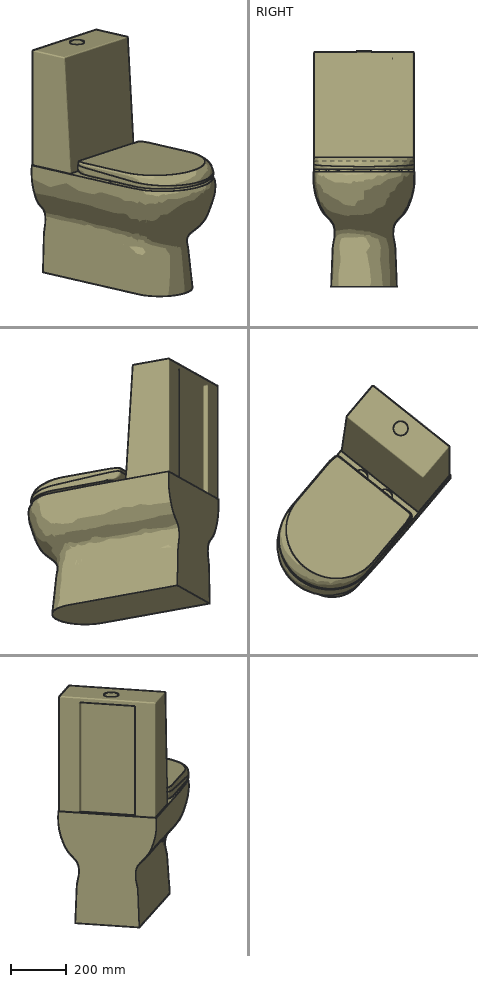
import cadquery as cq
import math

OVERALL_HEIGHT = 849.0

BOWL_TOP = 414.0
FOOT_TOP = 144.0
FOOT_STEPS = 6
FLOOR_SECTION = (0, 119.0, 568.0, 448.0)
BOWL_SECTIONS = [
    (FOOT_TOP, 113.0, 553.0, 429.0),
    (174.0, 107.0, 548.5, 425.0),
    (204, 105.0, 559.5, 439.0),
    (233.5, 115.5, 592.0, 467.0),
    (263, 143.5, 619.0, 499.0),
    (297, 163.0, 634.0, 519.0),
    (331, 175.0, 646.0, 532.0),
    (361.0, 181.0, 655.0, 539.0),
    (386.0, 182.5, 657.0, 540.0),
    (BOWL_TOP, 182.0, 644.0, 529.0),
]
SIDE_STRAIGHT_SHARE = 2 / 3
SIDE_BLEND = 34.0

CISTERN_HEIGHT = 431.0
CISTERN_TOP = BOWL_TOP + CISTERN_HEIGHT
CISTERN_HALF_WIDTH = 180.0
CISTERN_TOP_DEPTH = 152.0
CISTERN_BASE_DEPTH = 181.0
CISTERN_ROUND = 5.0
POCKET_HALF_WIDTH = 102.0
POCKET_TOP = 826.0
POCKET_DEPTH = 15.0

BUTTON_X = 61.0
BUTTON_DIAMETER = 53.0
BUTTON_HEIGHT = OVERALL_HEIGHT - CISTERN_TOP
BUTTON_ROUND = 2.0

SEAT_BOTTOM = 423.0
LID_TOP = 467.0
CUSHION_SECTIONS = [
    (SEAT_BOTTOM, 229.0, 178.0, 641.0),
    (426.0, 217.0, 181.0, 644.0),
    (433.0, 210.0, 182.0, 643.5),
    (446.0, 206.0, 182.0, 638.5),
    (453.0, 209.0, 182.0, 632.5),
    (460.0, 210.0, 181.0, 622.0),
    (LID_TOP, 211.0, 177.5, 606.0),
]
CUSHION_FRONT_DEPTH = 170.0
CORNER_RADIUS = 13.0
SHOULDER_INSET = 3.0
SHOULDER_LENGTH = 22.0
PARTING_BACK = (206.0, 453.0)
PARTING_FRONT = (642.0, 433.0)

BUMPERS = [
    (357.0, 148.5, 26.0),
    (514.5, 110.0, 31.0),
]

HINGE_X = 212.0
HINGE_YS = (51.0, -63.0)
HINGE_DIAMETER = 53.0
HINGE_TOP = 425.0


def bezier(points):
    return cq.Edge.makeBezier([cq.Vector(*p) for p in points])


def line(start, end):
    return cq.Edge.makeLine(cq.Vector(*start), cq.Vector(*end))


def mirrored(points):
    """The same points across the plane Y = 0, in reverse order."""
    return [(x, -y, z) for x, y, z in reversed(points)]


def elliptical_arc(center_x, depth, half_width, angle, z):
    """Bezier points of an ellipse from `angle` down to its tip at the front."""
    handle = 4 / 3 * math.tan(angle / 4)
    cos_a = math.cos(angle)
    sin_a = math.sin(angle)
    start = (center_x + depth * cos_a, half_width * sin_a, z)
    start_handle = (start[0] + handle * depth * sin_a, start[1] - handle * half_width * cos_a, z)
    tip = center_x + depth
    return [start, start_handle, (tip, handle * half_width, z), (tip, 0, z)]


def bowl_section(z, half_width, front_x, round_start_x):
    """A straight back, two long sides and a front rounded to at least a half circle."""
    depth = max(half_width, front_x - round_start_x)
    center_x = front_x - depth
    angle = math.acos((round_start_x - center_x) / depth)
    front = elliptical_arc(center_x, depth, half_width, angle, z)

    start = front[0]
    back = (0, half_width, z)
    blend_x = start[0] - SIDE_BLEND * math.sin(angle)
    blend_y = start[1] + SIDE_BLEND * math.cos(angle)
    side = [back, (SIDE_STRAIGHT_SHARE * start[0], half_width, z), (blend_x, blend_y, z), start]
    return cq.Wire.assembleEdges([
        bezier(side),
        bezier(front),
        bezier(mirrored(front)),
        bezier(mirrored(side)),
        line((0, -half_width, z), back),
    ])


def foot_section(share):
    """The sizes of the section at this share of the way up the foot."""
    return [low + share * (high - low) for low, high in zip(FLOOR_SECTION, BOWL_SECTIONS[0])]


def make_bowl():
    sections = [foot_section(step / FOOT_STEPS) for step in range(FOOT_STEPS)] + BOWL_SECTIONS
    return cq.Solid.makeLoft([bowl_section(*section) for section in sections])


def make_cistern():
    body = (
        cq.Workplane("XZ", origin=(0, CISTERN_HALF_WIDTH, 0))
        .moveTo(0, BOWL_TOP)
        .lineTo(CISTERN_BASE_DEPTH, BOWL_TOP)
        .lineTo(CISTERN_TOP_DEPTH, CISTERN_TOP)
        .lineTo(0, CISTERN_TOP)
        .close()
        .extrude(2 * CISTERN_HALF_WIDTH)
    )
    pocket = cq.Workplane("XY").box(
        2 * POCKET_DEPTH, 2 * POCKET_HALF_WIDTH, 2 * (POCKET_TOP - BOWL_TOP)
    )
    pocket = pocket.translate((0, 0, BOWL_TOP))
    return body.cut(pocket).edges().fillet(CISTERN_ROUND).val()


def make_button():
    return (
        cq.Workplane("XY", origin=(BUTTON_X, 0, CISTERN_TOP))
        .circle(BUTTON_DIAMETER / 2)
        .extrude(BUTTON_HEIGHT)
        .faces(">Z")
        .edges()
        .fillet(BUTTON_ROUND)
        .val()
    )


def cushion_section(z, back_x, half_width, front_x):
    """A straight back with rounded corners, straight sides and a half-elliptical front."""
    shoulder_y = half_width - SHOULDER_INSET
    back = (back_x, shoulder_y - CORNER_RADIUS, z)
    shoulder = (back_x + CORNER_RADIUS, shoulder_y, z)
    side_start = (shoulder[0] + SHOULDER_LENGTH, half_width, z)

    corner = elliptical_arc(0, CORNER_RADIUS, CORNER_RADIUS, math.pi / 2, 0)
    corner = [(shoulder[0] - x, back[1] + y, z) for x, y, _ in reversed(corner)]
    front_start = (front_x - CUSHION_FRONT_DEPTH, half_width, z)
    front = cq.Edge.makeEllipse(
        half_width,
        CUSHION_FRONT_DEPTH,
        cq.Vector(front_start[0], 0, z),
        cq.Vector(0, 0, -1),
        cq.Vector(0, 1, 0),
        0,
        180,
    )
    rear_and_side = [corner, [shoulder, side_start], [side_start, front_start]]
    other_half = [mirrored(points) for points in reversed(rear_and_side)]
    edges = [bezier(points) for points in rear_and_side]
    edges.append(front)
    edges += [bezier(points) for points in other_half]
    edges.append(line(mirrored([back])[0], back))
    return cq.Wire.assembleEdges(edges)


def make_cushion():
    return cq.Solid.makeLoft([cushion_section(*section) for section in CUSHION_SECTIONS])


def above_parting_plane():
    """A block holding everything above the sloping plane between seat and lid."""
    reach = 42.5
    half_width = CUSHION_SECTIONS[0][2] + reach
    slope = (PARTING_FRONT[1] - PARTING_BACK[1]) / (PARTING_FRONT[0] - PARTING_BACK[0])
    rear_x = PARTING_BACK[0] - reach
    fore_x = PARTING_FRONT[0] + reach
    return (
        cq.Workplane("XZ", origin=(0, half_width, 0))
        .moveTo(rear_x, PARTING_BACK[1] - slope * reach)
        .lineTo(fore_x, PARTING_FRONT[1] + slope * reach)
        .lineTo(fore_x, LID_TOP + reach)
        .lineTo(rear_x, LID_TOP + reach)
        .close()
        .extrude(2 * half_width)
        .val()
    )


def disc(x, y, diameter, top):
    """A round disc standing on the bowl."""
    return cq.Solid.makeCylinder(diameter / 2, top - BOWL_TOP, cq.Vector(x, y, BOWL_TOP))


def make_hinge(y):
    return disc(HINGE_X, y, HINGE_DIAMETER, HINGE_TOP)


def make_lid():
    return make_cushion().intersect(above_parting_plane())


def make_seat(hinges):
    seat = make_cushion().cut(above_parting_plane())
    for x, offset, diameter in BUMPERS:
        for y in (-offset, offset):
            seat = seat.fuse(disc(x, y, diameter, SEAT_BOTTOM))
    return seat.cut(*hinges)


bowl = make_bowl()
cistern = make_cistern()
button = make_button()
hinges = [make_hinge(y) for y in HINGE_YS]
seat = make_seat(hinges)
lid = make_lid()

bodies = [bowl, cistern, button, seat, lid, *hinges]
result = cq.Compound.makeCompound([solid for body in bodies for solid in body.Solids()])